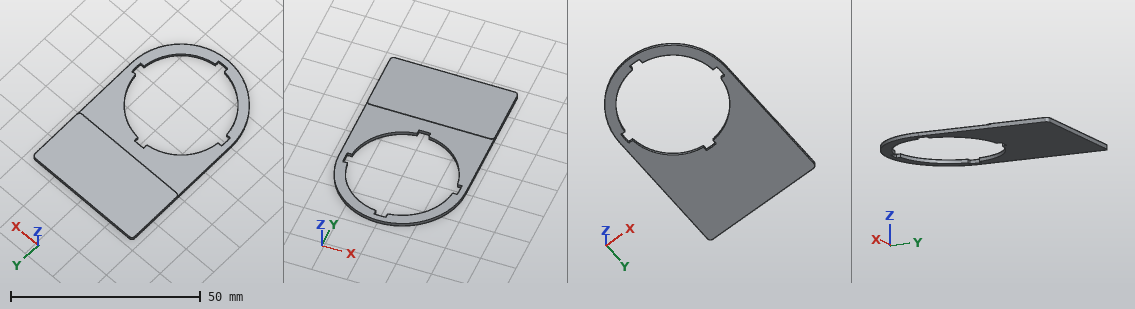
import cadquery as cq

plate_width = 36.0
plate_length = 56.0
plate_thickness = 1.0
corner_radius = 1.0
end_radius = plate_width / 2
top_edge_y = plate_length - end_radius

panel_length = 18.0
panel_rise = 0.2
panel_centre_y = top_edge_y - panel_length / 2

hole_radius = 15.0
notch_outer_radius = 16.25
notch_width = 3.3
notch_count = 4
notch_step_angle = 360.0 / notch_count


def make_plate():
    """Flat plate with two rounded corners and a half-round end, hole axis on Z."""
    outline = (
        cq.Workplane("XY")
        .moveTo(-end_radius, 0)
        .threePointArc((0, -end_radius), (end_radius, 0))
        .lineTo(end_radius, top_edge_y)
        .lineTo(-end_radius, top_edge_y)
        .close()
    )
    return outline.extrude(plate_thickness).edges("|Z and >Y").fillet(corner_radius)


def make_panel():
    """Shallow raised rectangle with four rounded corners, as wide as the plate."""
    return (
        cq.Workplane("XY")
        .workplane(offset=plate_thickness)
        .center(0, panel_centre_y)
        .rect(plate_width, panel_length)
        .extrude(panel_rise)
        .edges("|Z")
        .fillet(corner_radius)
    )


def make_notched_hole():
    """Through-hole cutter: a cylinder plus radial notches with round outer ends."""
    cutter = cq.Workplane("XY").circle(hole_radius).extrude(plate_thickness)
    notch_limit = cq.Workplane("XY").circle(notch_outer_radius).extrude(plate_thickness)
    notch = (
        cq.Workplane("XY")
        .rect(end_radius, notch_width)
        .extrude(plate_thickness)
        .translate((end_radius / 2, 0, 0))
        .intersect(notch_limit)
    )
    for index in range(notch_count):
        cutter = cutter.union(notch.rotate((0, 0, 0), (0, 0, 1), index * notch_step_angle))
    return cutter


result = make_plate().union(make_panel()).cut(make_notched_hole())